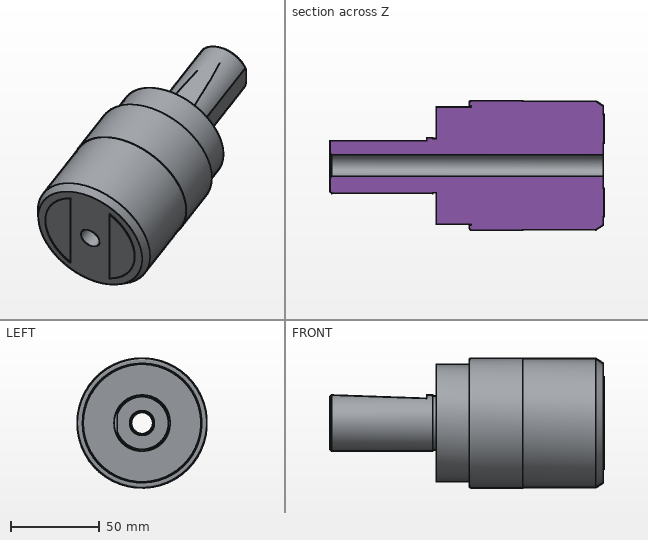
import cadquery as cq
import math

SHANK_LENGTH = 60.0
HEAD_LENGTH = 95.0
SHANK_END = -SHANK_LENGTH
HEAD_END = HEAD_LENGTH

SHANK_DIAMETER = 31.75
SHANK_CHAMFER = 1.0
RELIEF_DIAMETER = 30.75
RELIEF_LENGTH = 2.0

FLAT_LENGTH = 54.7
PARALLEL_FLAT_DEPTH = 1.8
SLOPED_FLAT_START = 1.1
SLOPED_FLAT_ANGLE = 2.0

COLLAR_DIAMETER = 66.5
COLLAR_LENGTH = 18.75
BODY_DIAMETER = 73.5
BODY_LENGTH = 30.25
BODY_EDGE_RADIUS = 1.25

CLEARANCE_DIAMETER = 67.5
CLEARANCE_DEPTH = 1.0

NUT_DIAMETER = 73.0
NUT_FACE_DIAMETER = 67.5
NUT_CHAMFER_LENGTH = 4.2

LUG_DIAMETER = 58.0
LUG_HEIGHT = 0.4
LUG_SLOT_WIDTH = 25.4

BORE_DIAMETER = 12.0
BORE_CHAMFER = 1.0


def cylinder(diameter, start, length):
    """Cylinder about the X axis, running in +X from start."""
    return cq.Workplane("YZ", origin=(start, 0, 0)).circle(diameter / 2).extrude(length)


def make_shank():
    main_length = SHANK_LENGTH - RELIEF_LENGTH
    main = cylinder(SHANK_DIAMETER, SHANK_END, main_length).faces("<X").chamfer(SHANK_CHAMFER)
    relief = cylinder(RELIEF_DIAMETER, -RELIEF_LENGTH, RELIEF_LENGTH)
    return main.union(relief)


def make_parallel_flat_cutter():
    flat_offset = SHANK_DIAMETER / 2 - PARALLEL_FLAT_DEPTH
    return (
        cq.Workplane("XY", origin=(SHANK_END, flat_offset, 0))
        .box(FLAT_LENGTH, PARALLEL_FLAT_DEPTH, SHANK_DIAMETER, centered=(False, False, True))
    )


def make_sloped_flat_cutter():
    surface = SHANK_DIAMETER / 2
    start = SHANK_END + SLOPED_FLAT_START
    end = SHANK_END + FLAT_LENGTH
    depth = (end - start) * math.tan(math.radians(SLOPED_FLAT_ANGLE))
    return (
        cq.Workplane("XZ")
        .polyline([(start, surface), (end, surface - depth), (end, surface)])
        .close()
        .extrude(SHANK_DIAMETER / 2, both=True)
    )


def make_head():
    """Collar, body and nut turned as one profile about the X axis."""
    body_start = COLLAR_LENGTH
    nut_start = body_start + BODY_LENGTH
    nut_face = HEAD_END - LUG_HEIGHT
    collar_radius = COLLAR_DIAMETER / 2
    clearance_radius = CLEARANCE_DIAMETER / 2
    body_radius = BODY_DIAMETER / 2
    nut_radius = NUT_DIAMETER / 2
    clearance_bottom = body_start + CLEARANCE_DEPTH
    arc_offset = BODY_EDGE_RADIUS * (1 - math.sqrt(0.5))
    return (
        cq.Workplane("XY")
        .moveTo(0, 0)
        .lineTo(0, collar_radius)
        .lineTo(clearance_bottom, collar_radius)
        .lineTo(clearance_bottom, clearance_radius)
        .lineTo(body_start, clearance_radius)
        .lineTo(body_start, body_radius - BODY_EDGE_RADIUS)
        .threePointArc(
            (body_start + arc_offset, body_radius - arc_offset),
            (body_start + BODY_EDGE_RADIUS, body_radius),
        )
        .lineTo(nut_start, body_radius)
        .lineTo(nut_start, nut_radius)
        .lineTo(nut_face - NUT_CHAMFER_LENGTH, nut_radius)
        .lineTo(nut_face, NUT_FACE_DIAMETER / 2)
        .lineTo(nut_face, 0)
        .close()
        .revolve(360, (0, 0, 0), (1, 0, 0))
    )


def make_lugs():
    disc = cylinder(LUG_DIAMETER, HEAD_END - LUG_HEIGHT, LUG_HEIGHT)
    slot = cq.Workplane("XY").box(2 * LUG_HEIGHT, LUG_SLOT_WIDTH, LUG_DIAMETER).translate((HEAD_END, 0, 0))
    return disc.cut(slot)


def make_bore_cutter():
    bore = cylinder(BORE_DIAMETER, SHANK_END, SHANK_LENGTH + HEAD_LENGTH)
    mouth = (
        cq.Workplane("YZ", origin=(SHANK_END, 0, 0))
        .circle(BORE_DIAMETER / 2 + BORE_CHAMFER)
        .workplane(offset=BORE_CHAMFER)
        .circle(BORE_DIAMETER / 2)
        .loft()
    )
    return bore.union(mouth)


shank = make_shank().cut(make_parallel_flat_cutter()).cut(make_sloped_flat_cutter())
result = shank.union(make_head()).union(make_lugs()).cut(make_bore_cutter())